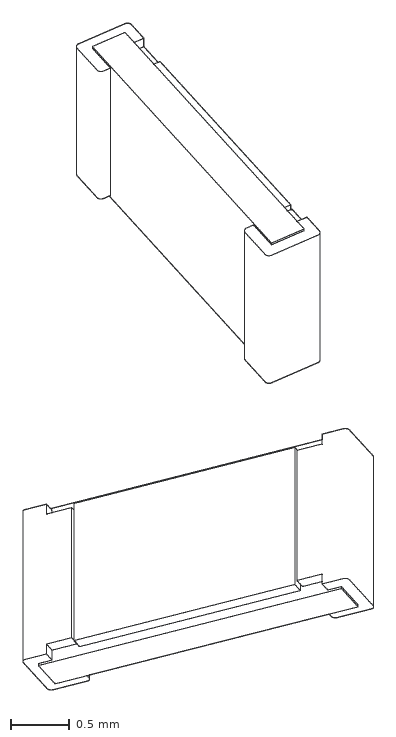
import cadquery as cq

LENGTH = 3.1
THICKNESS = 0.55
HEIGHT = 1.55

PLATING = 0.11
CAP_SETBACK = 0.02
CAP_HEIGHT = HEIGHT - 2 * CAP_SETBACK
CORNER_RADIUS = 0.04
FRONT_LEG = 0.4
BACK_LEG = 0.24

CORE_LENGTH = LENGTH - 2 * PLATING
CORE_THICKNESS = THICKNESS - 2 * PLATING
CORE_BACK = CORE_THICKNESS / 2

PAD_LENGTH = 0.24
PAD_SETBACK = 0.12
PAD_HEIGHT = HEIGHT - 2 * PAD_SETBACK

COATING_GAP = 0.02
COATING_LENGTH = LENGTH - 2 * (BACK_LEG + PAD_LENGTH + COATING_GAP)
COATING_SETBACK = 0.085
COATING_HEIGHT = HEIGHT - 2 * COATING_SETBACK


def make_block(length, thickness, height):
    """Box centred on the origin."""
    return cq.Workplane("XY").box(length, thickness, height)


def make_back_block(length, height, center_x):
    """Plating-thick block lying on the core's back face."""
    center_y = CORE_BACK + PLATING / 2
    return make_block(length, PLATING, height).translate((center_x, center_y, 0))


def make_left_cap():
    """C-shaped end cap at the -X end, with its outer corners rounded."""
    left = -LENGTH / 2
    front = -THICKNESS / 2
    back = THICKNESS / 2
    cap = (
        cq.Workplane("XY")
        .workplane(offset=-CAP_HEIGHT / 2)
        .moveTo(left, front)
        .lineTo(left + FRONT_LEG, front)
        .lineTo(left + FRONT_LEG, -CORE_BACK)
        .lineTo(left + PLATING, -CORE_BACK)
        .lineTo(left + PLATING, CORE_BACK)
        .lineTo(left + BACK_LEG, CORE_BACK)
        .lineTo(left + BACK_LEG, back)
        .lineTo(left, back)
        .close()
        .extrude(CAP_HEIGHT)
    )
    end_edges = cap.faces("<X").edges("|Z")
    front_leg_edge = cap.faces("<Y").edges("|Z").edges(">X")
    return end_edges.add(front_leg_edge).fillet(CORNER_RADIUS)


def make_left_terminal():
    """End cap together with the inner pad that continues its back leg."""
    pad_center = -LENGTH / 2 + BACK_LEG + PAD_LENGTH / 2
    return make_left_cap().union(make_back_block(PAD_LENGTH, PAD_HEIGHT, pad_center))


core = make_block(CORE_LENGTH, CORE_THICKNESS, HEIGHT)
coating = make_back_block(COATING_LENGTH, COATING_HEIGHT, 0)
left_terminal = make_left_terminal()
right_terminal = left_terminal.mirror("YZ")

result = core.union(coating).union(left_terminal).union(right_terminal)